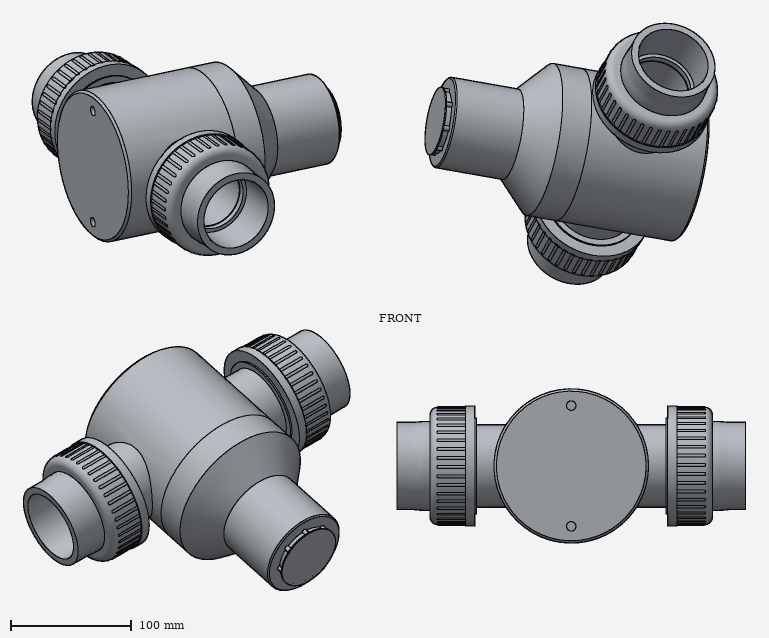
import cadquery as cq
import math

TOTAL_LENGTH = 289.0

BODY_DIAMETER = 128.0
BODY_FRONT_Y = -57.0
BODY_CHAMFER = 2.0
SPLIT_Y = 45.7
CONE_START_Y = 70.8
NECK_START_Y = 96.5
NECK_END_Y = 155.5
NECK_DIAMETER = 76.3
NECK_CHAMFER = 1.2

FACE_HOLE_DIAMETER = 7.8
FACE_HOLE_DEPTH = 10.0
FACE_HOLE_OFFSET = 50.0

KNOB_END_Y = 161.5
KNOB_RIM_THICKNESS = 1.2
KNOB_CORE_DIAMETER = 52.5
KNOB_RIB_COUNT = 8
KNOB_RIB_RADIUS = 2.17
KNOB_RIM_DIAMETER = KNOB_CORE_DIAMETER + 2 * KNOB_RIB_RADIUS

STUB_SEAT_X = 49.0
STUB_DIAMETER = 68.5
STUB_BORE = 53.0
COLLAR_DIAMETER = 79.8
COLLAR_INNER_X = 78.3

NUT_INNER_X = 79.8
NUT_FLANGE_WIDTH = 7.8
NUT_OUTER_X = 117.0
NUT_FLANGE_DIAMETER = 99.7
NUT_DIAMETER = 97.5
NUT_FILLET = 6.5
NUT_MOUTH_DIAMETER = 74.3
NUT_RIB_COUNT = 40
NUT_RIB_RADIUS = 2.0
NUT_RIB_HEIGHT = 0.43
NUT_RIB_END_X = 112.2
NUT_RIB_PHASE = -1.1

JOINT_X = 101.2
CONNECTOR_DIAMETER = 74.0
CONNECTOR_END_DIAMETER = 72.5
CONNECTOR_TAPER_START_X = 122.5
CONNECTOR_TAPER_END_X = 130.5
CONNECTOR_BORE = 54.0
SOCKET_DIAMETER = 60.5
SOCKET_DEPTH = 38.0

CONNECTOR_END_X = TOTAL_LENGTH / 2
NUT_FLANGE_OUTER_X = NUT_INNER_X + NUT_FLANGE_WIDTH


def cylinder_along_x(diameter, start_x, end_x, y=0.0, z=0.0):
    """Cylinder parallel to X between two X positions."""
    return cq.Workplane("YZ", origin=(start_x, y, z)).circle(diameter / 2).extrude(end_x - start_x)


def cylinder_along_y(diameter, start_y, end_y, x=0.0, z=0.0):
    """Cylinder parallel to Y between two Y positions."""
    return cq.Workplane("XZ", origin=(x, start_y, z)).circle(diameter / 2).extrude(start_y - end_y)


def opposite_port(body):
    """Copy of a +X port body, turned half a turn about Y onto the -X port."""
    return body.rotate((0, 0, 0), (0, 1, 0), 180)


def make_housing():
    """Chamfered block with a flat-bottomed seat for each stub and two blind holes in its face."""
    housing = cylinder_along_y(BODY_DIAMETER, BODY_FRONT_Y, SPLIT_Y)
    housing = housing.faces("<Y").chamfer(BODY_CHAMFER)
    seat = cylinder_along_x(STUB_DIAMETER, STUB_SEAT_X, BODY_DIAMETER)
    housing = housing.cut(seat).cut(opposite_port(seat))
    for z in (-FACE_HOLE_OFFSET, FACE_HOLE_OFFSET):
        hole = cylinder_along_y(FACE_HOLE_DIAMETER, BODY_FRONT_Y, BODY_FRONT_Y + FACE_HOLE_DEPTH, z=z)
        housing = housing.cut(hole)
    return housing


def make_bonnet():
    """Cover that tapers from the body diameter down to the neck."""
    body_radius = BODY_DIAMETER / 2
    neck_radius = NECK_DIAMETER / 2
    profile = [
        (0, SPLIT_Y),
        (body_radius, SPLIT_Y),
        (body_radius, CONE_START_Y),
        (neck_radius, NECK_START_Y),
        (neck_radius, NECK_END_Y),
        (0, NECK_END_Y),
    ]
    bonnet = cq.Workplane("XY").polyline(profile).close().revolve(360, (0, 0), (0, 1))
    return bonnet.faces(">Y").chamfer(NECK_CHAMFER)


def make_knob():
    """Round core with half-round grip ribs under a thin rim."""
    rim_start_y = KNOB_END_Y - KNOB_RIM_THICKNESS
    knob = cylinder_along_y(KNOB_CORE_DIAMETER, NECK_END_Y, rim_start_y)
    for index in range(KNOB_RIB_COUNT):
        angle = 2 * math.pi * index / KNOB_RIB_COUNT
        x = KNOB_CORE_DIAMETER / 2 * math.cos(angle)
        z = KNOB_CORE_DIAMETER / 2 * math.sin(angle)
        knob = knob.union(cylinder_along_y(2 * KNOB_RIB_RADIUS, NECK_END_Y, rim_start_y, x, z))
    return knob.union(cylinder_along_y(KNOB_RIM_DIAMETER, rim_start_y, KNOB_END_Y))


def make_stub():
    """Tube from the seat in the housing, with its collar inside the nut."""
    stub = cylinder_along_x(STUB_DIAMETER, STUB_SEAT_X, JOINT_X)
    stub = stub.union(cylinder_along_x(COLLAR_DIAMETER, COLLAR_INNER_X, JOINT_X))
    return stub.cut(cylinder_along_x(STUB_BORE, STUB_SEAT_X, JOINT_X))


def make_nut_rib(angle):
    """Round grip rib, mostly sunk in the nut, that ends in a half ball; the angle is in degrees."""
    axis_radius = NUT_DIAMETER / 2 + NUT_RIB_HEIGHT - NUT_RIB_RADIUS
    y = axis_radius * math.cos(math.radians(angle))
    z = axis_radius * math.sin(math.radians(angle))
    ball_x = NUT_RIB_END_X - NUT_RIB_RADIUS
    rib = cylinder_along_x(2 * NUT_RIB_RADIUS, NUT_FLANGE_OUTER_X, ball_x, y, z)
    return rib.union(cq.Workplane("YZ", origin=(ball_x, y, z)).sphere(NUT_RIB_RADIUS))


def make_nut():
    """Ribbed nut with a plain flange, a rounded outer edge and a narrower mouth."""
    nut = cylinder_along_x(NUT_DIAMETER, NUT_INNER_X, NUT_OUTER_X)
    nut = nut.faces(">X").edges().fillet(NUT_FILLET)
    for index in range(NUT_RIB_COUNT):
        nut = nut.union(make_nut_rib(360 * index / NUT_RIB_COUNT + NUT_RIB_PHASE))
    nut = nut.union(cylinder_along_x(NUT_FLANGE_DIAMETER, NUT_INNER_X, NUT_FLANGE_OUTER_X))
    nut = nut.cut(cylinder_along_x(COLLAR_DIAMETER, NUT_INNER_X, JOINT_X))
    return nut.cut(cylinder_along_x(NUT_MOUTH_DIAMETER, JOINT_X, NUT_OUTER_X))


def make_connector():
    """Slightly tapered spigot with a pipe socket in its outer end."""
    bore_radius = CONNECTOR_BORE / 2
    socket_radius = SOCKET_DIAMETER / 2
    root_radius = CONNECTOR_DIAMETER / 2
    end_radius = CONNECTOR_END_DIAMETER / 2
    socket_floor_x = CONNECTOR_END_X - SOCKET_DEPTH
    profile = [
        (JOINT_X, bore_radius),
        (JOINT_X, root_radius),
        (CONNECTOR_TAPER_START_X, root_radius),
        (CONNECTOR_TAPER_END_X, end_radius),
        (CONNECTOR_END_X, end_radius),
        (CONNECTOR_END_X, socket_radius),
        (socket_floor_x, socket_radius),
        (socket_floor_x, bore_radius),
    ]
    return cq.Workplane("XY").polyline(profile).close().revolve(360, (0, 0), (1, 0))


bodies = [make_housing(), make_bonnet(), make_knob()]
for port_body in (make_stub(), make_nut(), make_connector()):
    bodies.append(port_body)
    bodies.append(opposite_port(port_body))

result = cq.Compound.makeCompound([body.val() for body in bodies])